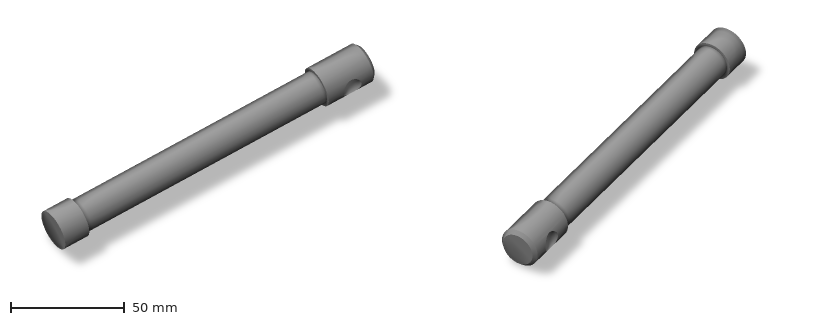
import cadquery as cq

total_length = 165.1
head_diameter = 19.0
shank_diameter = 15.8
cross_hole_diameter = 9.5
drilled_head_length = 25.5
plain_head_length = 12.7
end_chamfer = 1.7

front_y = -total_length / 2
back_y = total_length / 2
cross_hole_y = back_y - drilled_head_length / 2


def cylinder_along_y(diameter, start_y, length):
    """Solid round bar on the Y axis, running from start_y toward +Y."""
    base = cq.Workplane("XZ", origin=(0, start_y, 0))
    return base.circle(diameter / 2).extrude(-length)


shank = cylinder_along_y(shank_diameter, front_y, total_length - drilled_head_length)

plain_head = cylinder_along_y(head_diameter, front_y, plain_head_length)

drilled_head = cylinder_along_y(head_diameter, back_y - drilled_head_length, drilled_head_length)
drilled_head = drilled_head.faces(">Y").chamfer(end_chamfer)

cross_hole = (
    cq.Workplane("YZ")
    .center(cross_hole_y, 0)
    .circle(cross_hole_diameter / 2)
    .extrude(head_diameter, both=True)
)

result = shank.union(plain_head).union(drilled_head).cut(cross_hole)